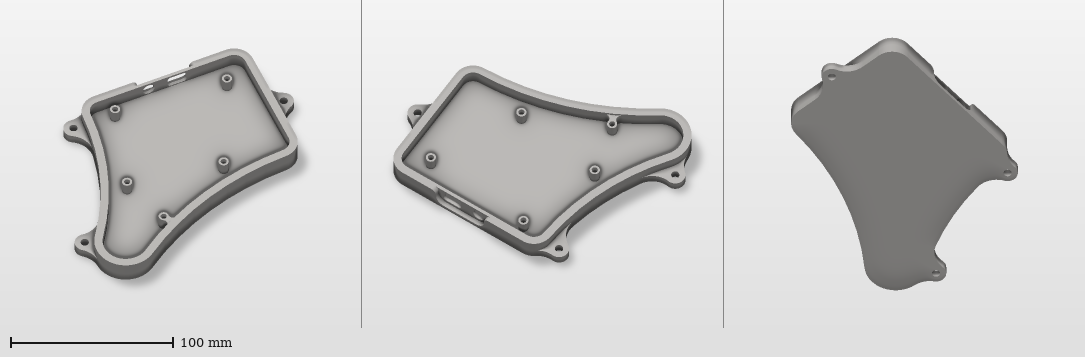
import cadquery as cq
import math

height = 14.2
wall = 5.0
floor = 4.0
back_y = 156.7
corner_radius = 12.5
tip_radius = 19.3
front_sweep_radius = 166.0
side_sweep_radius = 191.5

back_left = (corner_radius, back_y - corner_radius)
back_right = (78.3, back_y - corner_radius)
front_left = (corner_radius, 55.0)
tip = (111.0, 27.3)

ear_height = 6.3
ear_radius = 6.3
ear_hole_diameter = 5.0
ear_flare_radius = 15.0
back_ear = (45.2, 169.4 - ear_radius)
left_ear = (12.0, 36.0)
tip_ear = (96.2, ear_radius)

post_diameter = 6.3
post_hole_diameter = 3.7
post_top = 12.7
free_posts = [(19.7, 136.2), (78.0, 108.0), (13.5, 63.5), (68.3, 47.3)]
wall_post = (102.0, 57.0)
post_flare_radius = 3.0

recess_depth = 3.0
recess_y = 101.6
recess_width = 35.5
recess_bottom = 2.7
recess_corner_radius = 6.1
recess_lip_radius = 3.0
opening_z = 8.8
slot_y = 109.1
slot_width = 12.9
slot_height = 8.0
slot_corner_radius = 2.4
round_opening_y = 90.0
round_opening_diameter = 8.0


def toward(start, end, distance):
    """Point at a distance from start on the ray through end."""
    length = math.dist(start, end)
    return tuple(s + (e - s) * distance / length for s, e in zip(start, end))


def meeting_point(first, first_distance, second, second_distance):
    """Point at given distances from two points, right of the way from first to second."""
    span = math.dist(first, second)
    along = (span**2 + first_distance**2 - second_distance**2) / (2 * span)
    across = math.sqrt(first_distance**2 - along**2)
    ux = (second[0] - first[0]) / span
    uy = (second[1] - first[1]) / span
    return (first[0] + along * ux + across * uy, first[1] + along * uy - across * ux)


def arc_middle(center, start, end):
    """Middle of the shorter arc from start to end."""
    chord_middle = ((start[0] + end[0]) / 2, (start[1] + end[1]) / 2)
    return toward(center, chord_middle, math.dist(center, start))


front_sweep = meeting_point(
    front_left, front_sweep_radius + corner_radius, tip, front_sweep_radius + tip_radius
)
side_sweep = meeting_point(
    tip, side_sweep_radius + tip_radius, back_right, side_sweep_radius + corner_radius
)


def case_block(inset, bottom):
    """Solid inside the case outline moved inward by inset, from bottom to the rim."""
    corner = corner_radius - inset
    end = tip_radius - inset
    left_start = (inset, back_left[1])
    left_end = (inset, front_left[1])
    front_start = toward(front_left, front_sweep, corner)
    front_end = toward(tip, front_sweep, end)
    side_start = toward(tip, side_sweep, end)
    side_end = toward(back_right, side_sweep, corner)
    back_start = (back_right[0], back_y - inset)
    back_end = (back_left[0], back_y - inset)
    tip_end = (tip[0] + end * math.sqrt(0.5), tip[1] - end * math.sqrt(0.5))
    return (
        cq.Workplane("XY", origin=(0, 0, bottom))
        .moveTo(*left_start)
        .lineTo(*left_end)
        .threePointArc(arc_middle(front_left, left_end, front_start), front_start)
        .threePointArc(arc_middle(front_sweep, front_start, front_end), front_end)
        .threePointArc(tip_end, side_start)
        .threePointArc(arc_middle(side_sweep, side_start, side_end), side_end)
        .threePointArc(arc_middle(back_right, side_end, back_start), back_start)
        .lineTo(*back_end)
        .threePointArc(arc_middle(back_left, back_end, left_start), left_start)
        .close()
        .extrude(height - bottom)
    )


def flared_lug(center, radius, flares, contacts, root, bottom, top):
    """Round lug joined to a wall by two concave flares; root lies inside the wall."""
    first_side, second_side = [toward(center, flare, radius) for flare in flares]
    lug_end = toward(center, root, -radius)
    return (
        cq.Workplane("XY", origin=(0, 0, bottom))
        .moveTo(*root)
        .lineTo(*contacts[0])
        .threePointArc(arc_middle(flares[0], contacts[0], first_side), first_side)
        .threePointArc(lug_end, second_side)
        .threePointArc(arc_middle(flares[1], second_side, contacts[1]), contacts[1])
        .close()
        .extrude(top - bottom)
    )


def ear(center, flares, contacts, root):
    return flared_lug(center, ear_radius, flares, contacts, root, 0, ear_height)


ear_reach = ear_radius + ear_flare_radius


def make_back_ear():
    flare_y = back_y + ear_flare_radius
    half_span = math.sqrt(ear_reach**2 - (flare_y - back_ear[1]) ** 2)
    sides = [back_ear[0] - half_span, back_ear[0] + half_span]
    flares = [(x, flare_y) for x in sides]
    contacts = [(x, back_y) for x in sides]
    return ear(back_ear, flares, contacts, (back_ear[0], back_y - wall))


def make_left_ear():
    flares = [
        meeting_point(front_left, corner_radius + ear_flare_radius, left_ear, ear_reach),
        meeting_point(front_sweep, front_sweep_radius - ear_flare_radius, left_ear, ear_reach),
    ]
    contacts = [
        toward(front_left, flares[0], corner_radius),
        toward(front_sweep, flares[1], front_sweep_radius),
    ]
    return ear(left_ear, flares, contacts, front_left)


def make_tip_ear():
    flares = [
        meeting_point(tip_ear, ear_reach, front_sweep, front_sweep_radius - ear_flare_radius),
        meeting_point(tip_ear, ear_reach, tip, tip_radius + ear_flare_radius),
    ]
    contacts = [
        toward(front_sweep, flares[0], front_sweep_radius),
        toward(tip, flares[1], tip_radius),
    ]
    return ear(tip_ear, flares, contacts, tip)


def make_wall_post():
    radius = post_diameter / 2
    inner_radius = side_sweep_radius + wall
    post_reach = radius + post_flare_radius
    sweep_reach = inner_radius + post_flare_radius
    flares = [
        meeting_point(wall_post, post_reach, side_sweep, sweep_reach),
        meeting_point(side_sweep, sweep_reach, wall_post, post_reach),
    ]
    contacts = [toward(side_sweep, flare, inner_radius) for flare in flares]
    root = toward(side_sweep, wall_post, side_sweep_radius + wall / 2)
    return flared_lug(wall_post, radius, flares, contacts, root, floor, post_top)


def make_recess():
    half = recess_width / 2
    mouth = half + recess_lip_radius
    lip_z = height - recess_lip_radius
    return (
        cq.Workplane("YZ")
        .moveTo(recess_y - mouth, height)
        .radiusArc((recess_y - half, lip_z), recess_lip_radius)
        .lineTo(recess_y - half, recess_bottom + recess_corner_radius)
        .radiusArc((recess_y - half + recess_corner_radius, recess_bottom), -recess_corner_radius)
        .lineTo(recess_y + half - recess_corner_radius, recess_bottom)
        .radiusArc((recess_y + half, recess_bottom + recess_corner_radius), -recess_corner_radius)
        .lineTo(recess_y + half, lip_z)
        .radiusArc((recess_y + mouth, height), recess_lip_radius)
        .close()
        .extrude(recess_depth)
    )


def make_openings():
    slot = (
        cq.Workplane("YZ", origin=(0, slot_y, opening_z))
        .rect(slot_width, slot_height)
        .extrude(wall)
        .edges("|X")
        .fillet(slot_corner_radius)
    )
    round_opening = (
        cq.Workplane("YZ", origin=(0, round_opening_y, opening_z))
        .circle(round_opening_diameter / 2)
        .extrude(wall)
    )
    return slot.union(round_opening)


def cylinders(points, diameter, bottom, top):
    return (
        cq.Workplane("XY", origin=(0, 0, bottom))
        .pushPoints(points)
        .circle(diameter / 2)
        .extrude(top - bottom)
    )


body = case_block(0, 0)
for lug in (make_back_ear(), make_left_ear(), make_tip_ear()):
    body = body.union(lug)
body = body.cut(cylinders([back_ear, left_ear, tip_ear], ear_hole_diameter, 0, ear_height))
body = body.cut(case_block(wall, floor))
body = body.union(cylinders(free_posts, post_diameter, floor, post_top))
body = body.union(make_wall_post())
body = body.cut(cylinders(free_posts + [wall_post], post_hole_diameter, floor, post_top))
result = body.cut(make_recess()).cut(make_openings())